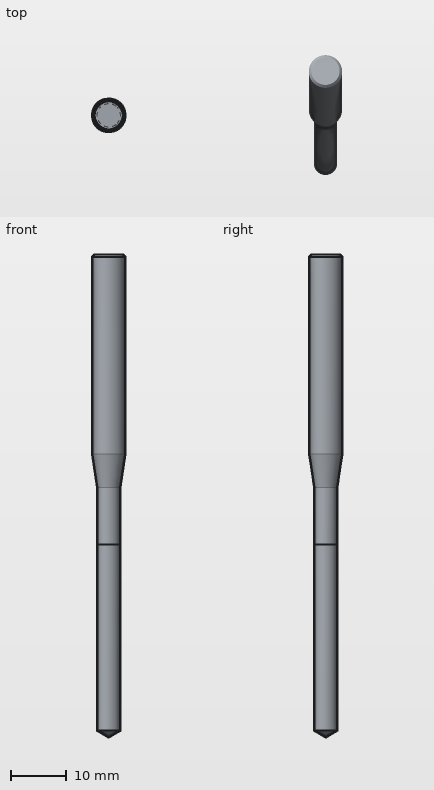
import cadquery as cq
import math

total_length = 87.0

shank_diameter = 6.0
shank_length = 36.0
shank_chamfer = 0.45
taper_length = 6.0
neck_diameter = 4.2

cutter_length = 34.7
cutter_diameter = neck_diameter
point_angle = 120.0

shank_radius = shank_diameter / 2
neck_radius = neck_diameter / 2
cutter_radius = cutter_diameter / 2
point_height = cutter_radius / math.tan(math.radians(point_angle / 2))
taper_top = total_length - shank_length
taper_bottom = taper_top - taper_length


def revolve_about_z(outline):
    """Turn a closed (radius, height) outline about the Z axis."""
    return cq.Workplane("XZ").polyline(outline).close().revolve(360, (0, 0), (0, 1))


def make_shank():
    """Chamfered shank that tapers down to the neck."""
    return revolve_about_z([
        (0, cutter_length),
        (neck_radius, cutter_length),
        (neck_radius, taper_bottom),
        (shank_radius, taper_top),
        (shank_radius, total_length - shank_chamfer),
        (shank_radius - shank_chamfer, total_length),
        (0, total_length),
    ])


def make_cutter():
    """Cutting cylinder that ends in the drill point at the origin."""
    return revolve_about_z([
        (0, 0),
        (cutter_radius, point_height),
        (cutter_radius, cutter_length),
        (0, cutter_length),
    ])


shank = make_shank()
cutter = make_cutter()

result = cq.Compound.makeCompound([shank.val(), cutter.val()])